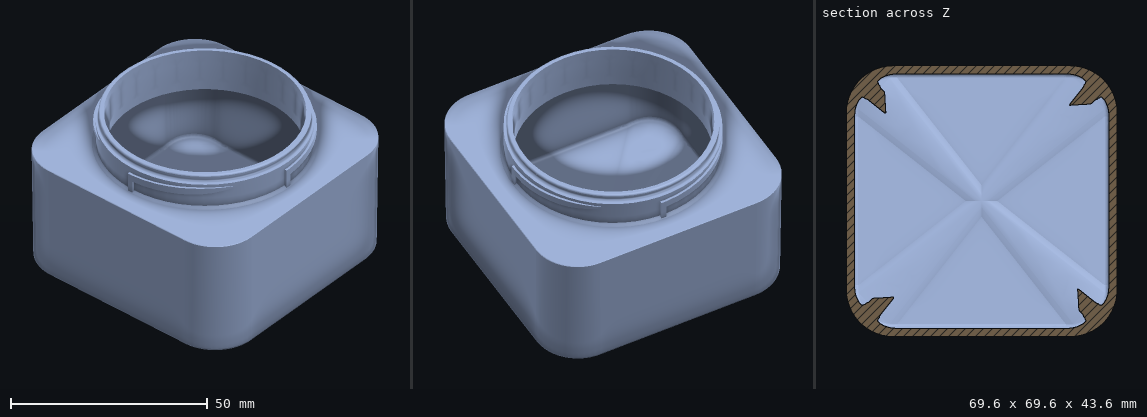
import cadquery as cq
import math

total_height = 43.55
body_width = 69.6
foot_width = 68.95
corner_radius = 12.05
foot_round = 0.85
rim_height = 33.6
rim_bevel = 0.15
crown_height = 33.8

wall = 2.1
cavity_width = body_width - 2 * wall
cavity_corner = corner_radius - wall
cavity_foot_width = foot_width - 2 * wall
floor_height = 3.5
ceiling_height = 31.5
floor_round = 1.05

neck_radius = 55.7 / 2
neck_height = 41.1
groove_radius = 52.45 / 2
groove_top = 42.45
groove_round = 0.4
lip_radius = 27.15
lip_height = 43.1
lip_top_radius = 26.65
lip_bulge = 0.1
bore_top_radius = 51.55 / 2
bore_bottom_radius = 25.5
collar_radius = 28.8
collar_rise = 0.6

thread_starts = 4
thread_radius = 28.5
thread_root_depth = 0.7
root_radius = neck_radius - thread_root_depth
thread_bottom = 37.5
thread_width = 1.95
thread_rise_per_degree = 0.024
thread_full_angle = 30
thread_end_angle = 57
thread_end_width = 0.3
thread_sections = 12
rib_width = 1.5

ridge_count = 4
first_ridge_angle = 45
ridge_length = 45.9
ridge_spread = 0.12
ridge_start_half_width = 1.0
ridge_flank_width = 1.5
ridge_flank_height = 0.3
ridge_crest_slope = 0.08


def rounded_square(width, radius, height):
    sketch = cq.Sketch().rect(width, width).vertices().fillet(radius)
    return sketch.moved(cq.Location(cq.Vector(0, 0, height)))


def loft_between(lower, upper):
    return cq.Workplane("XY").placeSketch(lower, upper).loft()


def turned(shape, angle):
    return shape.rotate((0, 0, 0), (0, 0, 1), angle)


def make_body():
    bevel_start = rounded_square(body_width, corner_radius, rim_height - rim_bevel)
    rim = rounded_square(body_width - 2 * rim_bevel, corner_radius - rim_bevel, rim_height)
    crown = cq.Sketch().circle(collar_radius).moved(cq.Location(cq.Vector(0, 0, crown_height)))
    walls = loft_between(rounded_square(foot_width, corner_radius, 0), bevel_start)
    walls = walls.faces("<Z").edges().fillet(foot_round)
    return walls.union(loft_between(bevel_start, rim)).union(loft_between(rim, crown))


def make_neck():
    arc_inset = groove_round * (1 - math.sqrt(0.5))
    groove_middle = (groove_radius + arc_inset, neck_height + arc_inset)
    lip_middle = (
        (lip_radius + lip_top_radius) / 2 + lip_bulge,
        (lip_height + total_height) / 2 + lip_bulge,
    )
    profile = (
        cq.Workplane("XZ")
        .moveTo(0, ceiling_height)
        .lineTo(collar_radius, ceiling_height)
        .lineTo(collar_radius, crown_height)
        .lineTo(neck_radius, crown_height + collar_rise)
        .lineTo(neck_radius, neck_height)
        .lineTo(groove_radius + groove_round, neck_height)
        .threePointArc(groove_middle, (groove_radius, neck_height + groove_round))
        .lineTo(groove_radius, groove_top)
        .lineTo(lip_radius, lip_height)
        .threePointArc(lip_middle, (lip_top_radius, total_height))
        .lineTo(0, total_height)
        .close()
    )
    return profile.revolve(360, (0, 0, 0), (0, 1, 0))


def make_bore():
    profile = cq.Workplane("XZ").polyline([
        (0, ceiling_height),
        (bore_bottom_radius, ceiling_height),
        (bore_top_radius, total_height),
        (0, total_height),
    ])
    return profile.close().revolve(360, (0, 0, 0), (0, 1, 0))


def thread_section(angle):
    """Radial rectangle through the thread, measured in degrees from the front."""
    fade = max(0, (angle - thread_full_angle) / (thread_end_angle - thread_full_angle)) ** 2
    width = thread_width + (thread_end_width - thread_width) * fade
    middle = thread_bottom + thread_width / 2 + thread_rise_per_degree * angle
    outer = thread_radius + (neck_radius - thread_radius) * fade
    across = math.sin(math.radians(angle))
    forward = -math.cos(math.radians(angle))
    corners = [
        (root_radius, middle - width / 2),
        (outer, middle - width / 2),
        (outer, middle + width / 2),
        (root_radius, middle + width / 2),
    ]
    points = [cq.Vector(radius * across, radius * forward, height) for radius, height in corners]
    return cq.Wire.makePolygon(points, close=True)


def make_thread():
    step = thread_end_angle / (thread_sections - 1)
    sections = [thread_section(step * i) for i in range(thread_sections)]
    return cq.Workplane(cq.Solid.makeLoft(sections))


def make_thread_with_stop():
    rib_top = thread_bottom + thread_width
    rib = cq.Workplane("XY").box(
        rib_width, thread_radius - root_radius, rib_top - ceiling_height, centered=False
    )
    rib = rib.translate((-rib_width, -thread_radius, ceiling_height))
    return rib.union(make_thread())


def ridge_section(distance):
    """Crowned cross-section of a floor ridge at a distance from the centre."""
    inner = ridge_start_half_width + ridge_spread * distance
    outer = inner + ridge_flank_width
    shoulder = floor_height + ridge_flank_height
    crest = shoulder + ridge_crest_slope * inner
    section = (
        cq.Workplane("YZ", origin=(distance, 0, 0))
        .moveTo(-outer, 0)
        .lineTo(-outer, floor_height)
        .lineTo(-inner, shoulder)
        .threePointArc((0, crest), (inner, shoulder))
        .lineTo(outer, floor_height)
        .lineTo(outer, 0)
        .close()
    )
    return section.val()


def make_ridge():
    return cq.Workplane(cq.Solid.makeLoft([ridge_section(0), ridge_section(ridge_length)], True))


def make_cavity():
    cavity = loft_between(
        rounded_square(cavity_foot_width, cavity_corner, floor_height),
        rounded_square(cavity_width, cavity_corner, ceiling_height),
    )
    ridge = make_ridge()
    for index in range(ridge_count):
        cavity = cavity.cut(turned(ridge, first_ridge_angle + 360 / ridge_count * index))
    middle_height = ceiling_height / 2
    flat_half = cavity_width / 2 - cavity_corner
    low_edges = cq.selectors.BoxSelector(
        (-body_width, -body_width, 0), (body_width, body_width, middle_height)
    )
    ridge_edges = cq.selectors.BoxSelector(
        (-flat_half, -flat_half, 0), (flat_half, flat_half, middle_height)
    )
    return cavity.edges(low_edges - ridge_edges).fillet(floor_round)


jar = make_body().union(make_neck())
thread = make_thread_with_stop()
for start in range(thread_starts):
    jar = jar.union(turned(thread, 360 / thread_starts * start))

result = jar.cut(make_bore()).cut(make_cavity())